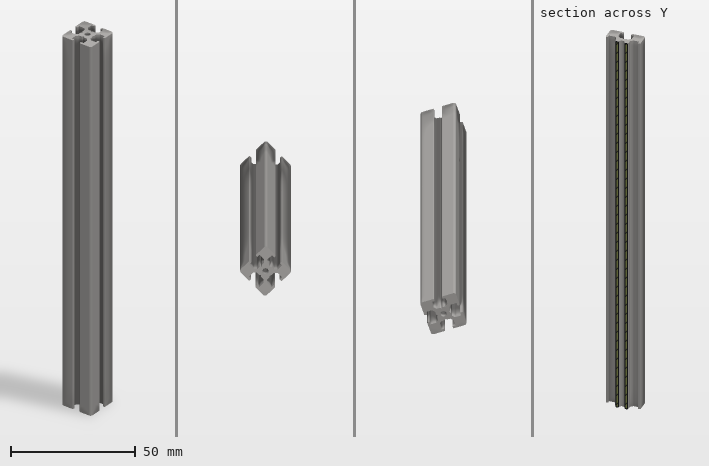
import cadquery as cq

length = 172.5
side = 15.0
corner_radius = 1.0

opening_width = 3.3
lip_thickness = 1.0
lip_round = 0.3
slot_width = 5.9
slot_floor = 3.0
floor_chamfer = 1.0

groove_width = 1.2
groove_depth = 0.43

bore_diameter = 2.5

half_side = side / 2
half_opening = opening_width / 2
half_slot = slot_width / 2
half_groove = groove_width / 2
lip_inner = half_side - lip_thickness


def make_bar():
    """Square bar with rounded long edges."""
    bar = cq.Workplane("XY").rect(side, side).extrude(length)
    return bar.edges("|Z").fillet(corner_radius)


def make_slot_cutter():
    """T-slot on the +Y side, with rounded lips and a V-grooved floor."""
    half_floor = half_slot - floor_chamfer
    chamfer_top = slot_floor + floor_chamfer
    round_start = half_side - lip_round
    half_mouth = half_opening + lip_round
    arc_offset = lip_round * (1 - 0.5 ** 0.5)
    return (
        cq.Workplane("XY")
        .moveTo(0, slot_floor - groove_depth)
        .lineTo(half_groove, slot_floor)
        .lineTo(half_floor, slot_floor)
        .lineTo(half_slot, chamfer_top)
        .lineTo(half_slot, lip_inner)
        .lineTo(half_opening, lip_inner)
        .lineTo(half_opening, round_start)
        .threePointArc((half_opening + arc_offset, half_side - arc_offset), (half_mouth, half_side))
        .lineTo(0, half_side)
        .close()
        .extrude(length)
        .mirror("YZ", union=True)
    )


def make_bore():
    """Round hole along the bar axis."""
    return cq.Workplane("XY").circle(bore_diameter / 2).extrude(length)


result = make_bar().cut(make_bore())
slot_cutter = make_slot_cutter()
for angle in (0, 90, 180, 270):
    result = result.cut(slot_cutter.rotate((0, 0, 0), (0, 0, 1), angle))